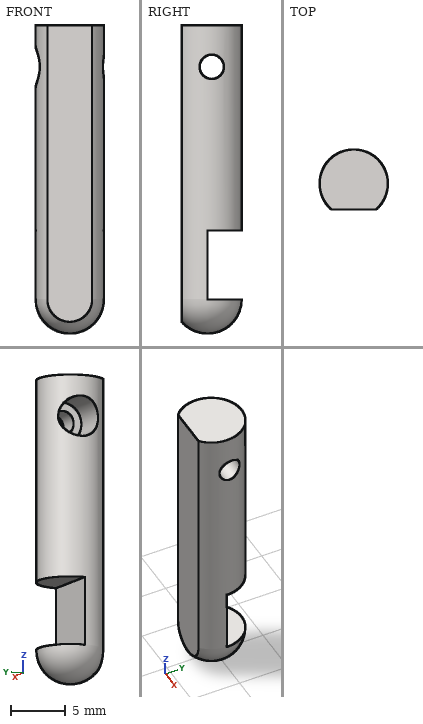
import cadquery as cq

length = 28.57
diameter = 6.35
radius = diameter / 2
flat_distance = 2.4

notch_height = 6.37

hole_diameter = 2.23
counterbore_diameter = 3.8
counterbore_depth = 4.0
hole_below_top = 3.85
hole_y = (radius - flat_distance) / 2
hole_z = length - hole_below_top


def make_pin():
    shaft = cq.Workplane("XY").workplane(offset=radius).circle(radius).extrude(length - radius)
    dome = cq.Workplane("XY").sphere(radius).translate((0, 0, radius))
    return shaft.union(dome)


def make_flat_cutter():
    return (
        cq.Workplane("XY")
        .box(diameter, radius, length, centered=(True, False, False))
        .translate((0, -flat_distance - radius, 0))
    )


def make_notch_cutter():
    return (
        cq.Workplane("XY")
        .box(diameter, radius, notch_height, centered=(True, False, False))
        .translate((0, 0, radius))
    )


def make_cross_cylinder(cylinder_diameter, depth):
    """Cylinder along +X, starting at the outermost -X line of the pin."""
    return (
        cq.Workplane("YZ", origin=(-radius, hole_y, hole_z))
        .circle(cylinder_diameter / 2)
        .extrude(depth)
    )


result = (
    make_pin()
    .cut(make_flat_cutter())
    .cut(make_notch_cutter())
    .cut(make_cross_cylinder(hole_diameter, diameter))
    .cut(make_cross_cylinder(counterbore_diameter, counterbore_depth))
)